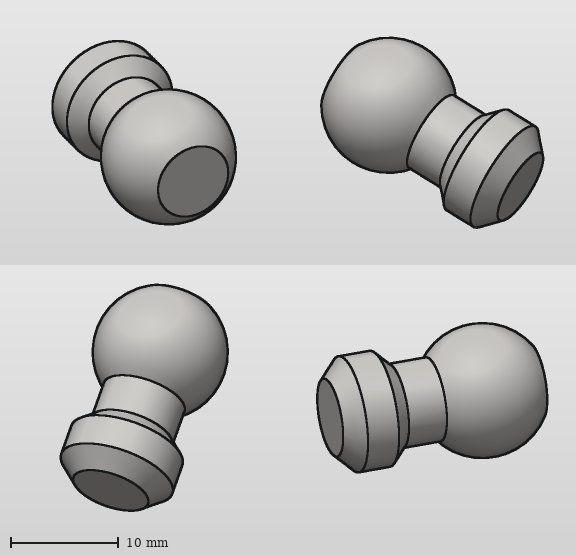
import cadquery as cq
import math

total_length = 20.07
ball_radius = 6.28
ball_center_x = 14.95
neck_radius = 3.97
collar_radius = 5.48
front_chamfer = 1.8
collar_end_x = 4.85

neck_start_x = collar_end_x + collar_radius - neck_radius


def ball_half_width(radius):
    """Axial distance from the ball center at which the ball has this radius."""
    return math.sqrt(ball_radius**2 - radius**2)


neck_end_x = ball_center_x - ball_half_width(neck_radius)

flat_radius = math.sqrt(ball_radius**2 - (total_length - ball_center_x) ** 2)

half_profile = (
    cq.Workplane("XY")
    .moveTo(0, 0)
    .lineTo(0, collar_radius - front_chamfer)
    .lineTo(front_chamfer, collar_radius)
    .lineTo(collar_end_x, collar_radius)
    .lineTo(neck_start_x, neck_radius)
    .lineTo(neck_end_x, neck_radius)
    .threePointArc((ball_center_x, ball_radius), (total_length, flat_radius))
    .lineTo(total_length, 0)
    .close()
)

result = half_profile.revolve(360, (0, 0, 0), (1, 0, 0))